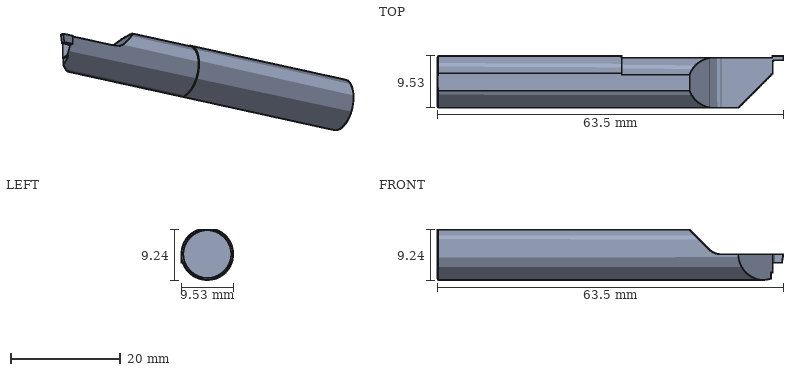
import cadquery as cq
import math

overall_length = 63.5
shank_diameter = 9.525
shank_radius = shank_diameter / 2
rear_chamfer_length = 0.22
rear_chamfer_depth = 0.38
flat_height = 4.4775

neck_start = 33.85
neck_offset = 0.3

floor_height = 0.0
ramp_start = 46.3
ramp_radius = 3.0
ramp_angle = math.radians(45)

tip_projection = 1.9
nose_end = overall_length - tip_projection
heel_height = -3.4
heel_setback = 0.33
heel_end = nose_end - heel_setback
bevel_inner_y = 1.6

tip_width = 0.8
tip_depth = 1.6
tip_root_radius = 0.25
tip_clearance_angle = math.radians(8)
tip_root_length = 0.15
tip_outer_y = shank_radius


def make_shank():
    rod = cq.Workplane("YZ").circle(shank_radius).extrude(overall_length)
    flat_cutter = cq.Workplane("XY").box(
        overall_length, shank_diameter, shank_diameter, centered=(False, True, False)
    ).translate((0, 0, flat_height))
    rear_radius = shank_radius - rear_chamfer_depth
    envelope = (
        cq.Workplane("XY")
        .moveTo(0, 0)
        .lineTo(0, rear_radius)
        .lineTo(rear_chamfer_length, shank_radius)
        .lineTo(overall_length, shank_radius)
        .lineTo(overall_length, 0)
        .close()
        .revolve(360, (0, 0, 0), (1, 0, 0))
    )
    return rod.intersect(envelope).cut(flat_cutter)


def relieve_neck(body):
    neck_length = overall_length - neck_start
    block = cq.Workplane("XY").box(
        neck_length, 2 * shank_diameter, 2 * shank_diameter, centered=(False, True, True)
    )
    kept = cq.Workplane("YZ").center(-neck_offset, 0).circle(shank_radius).extrude(neck_length)
    return body.cut(block.cut(kept).translate((neck_start, 0, 0)))


def cut_chip_pocket(body):
    ramp_drop = flat_height - floor_height
    ramp_foot = ramp_start + ramp_drop
    tangent_length = ramp_radius * math.tan(ramp_angle / 2)
    diagonal = tangent_length * math.sin(ramp_angle)
    over = shank_radius - flat_height
    cutter = (
        cq.Workplane("XZ")
        .moveTo(ramp_start - over, flat_height + over)
        .lineTo(ramp_foot - diagonal, floor_height + diagonal)
        .tangentArcPoint((ramp_foot + tangent_length, floor_height), relative=False)
        .lineTo(overall_length, floor_height)
        .lineTo(overall_length, flat_height + over)
        .close()
        .extrude(shank_diameter, both=True)
    )
    return body.cut(cutter)


def shape_nose(body):
    heel_cutter = cq.Workplane("XY").box(
        overall_length - heel_end, 2 * shank_diameter, shank_diameter, centered=(False, True, False)
    ).translate((heel_end, 0, heel_height - shank_diameter))
    end_cutter = cq.Workplane("XY").box(
        tip_projection, 2 * shank_diameter, 2 * shank_diameter, centered=(False, True, True)
    ).translate((nose_end, 0, 0))
    bevel_length = bevel_inner_y + shank_radius
    bevel_cutter = (
        cq.Workplane("XY")
        .moveTo(nose_end, bevel_inner_y)
        .lineTo(nose_end - bevel_length, -shank_radius)
        .lineTo(overall_length, -shank_radius)
        .lineTo(overall_length, bevel_inner_y)
        .close()
        .extrude(shank_diameter, both=True)
    )
    return body.cut(end_cutter).cut(heel_cutter).cut(bevel_cutter)


def make_tip():
    lean = tip_depth * math.tan(tip_clearance_angle)
    root = nose_end - tip_root_length
    return (
        cq.Workplane("XZ", origin=(0, tip_outer_y, 0))
        .moveTo(root, floor_height)
        .lineTo(overall_length, floor_height)
        .lineTo(overall_length - lean, floor_height - tip_depth)
        .lineTo(root, floor_height - tip_depth)
        .close()
        .extrude(tip_width)
    )


def make_root_fillet():
    side_y = tip_outer_y - tip_width
    return (
        cq.Workplane("XY", origin=(0, 0, floor_height))
        .moveTo(nose_end, side_y)
        .lineTo(nose_end, side_y - tip_root_radius)
        .radiusArc((nose_end + tip_root_radius, side_y), tip_root_radius)
        .close()
        .extrude(-tip_depth)
    )


nose = shape_nose(cut_chip_pocket(relieve_neck(make_shank())))
result = nose.union(make_tip()).union(make_root_fillet())